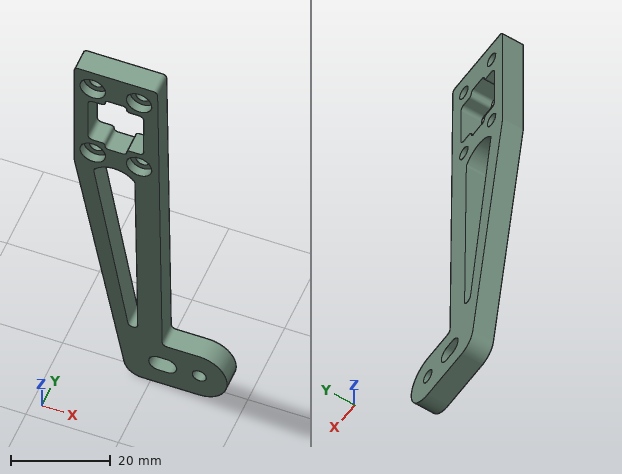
import cadquery as cq

thickness = 5.0
height = 91.0
head_width = 18.0
head_corner_radius = 1.0
bend_height = 62.0
heel_x = 11.4
heel_radius = 4.0

foot_radius = 6.0
foot_top = 2 * foot_radius
foot_hole_x = 27.0
inner_corner_x = 19.0
inner_corner_radius = 1.0
slot_x = 19.1
slot_length = 6.0
slot_width = 4.0

hole_diameter = 3.0
counterbore_diameter = 5.5
counterbore_depth = 2.0
bolt_spacing_x = 10.0
bolt_spacing_z = 20.0
pattern_x = head_width / 2
pattern_z = 76.0

window_size = 12.0
window_corner_radius = 1.0
notch_width = 4.6
notch_span = 15.0
notch_radius = 0.7

opening_top = 63.0
opening_shoulder = 60.7
opening_top_left = 4.2
opening_top_right = 13.1
opening_bottom = 15.0
opening_bottom_left = 11.7
opening_bottom_right = 13.7
opening_shoulder_radius = 1.0
opening_tip_radius = 1.0


def workplane(x=0.0, z=0.0):
    """Plane on the front face (Y = 0), with local axes along X and Z."""
    return cq.Workplane("XZ", origin=(x, 0, z))


def near_edge(body, x, z):
    """The edge through the thickness that is closest to (x, z)."""
    return body.edges("|Y").edges(cq.NearestToPointSelector((x, thickness / 2, z)))


def make_plate():
    outline = (
        workplane()
        .moveTo(0, height)
        .lineTo(head_width, height)
        .lineTo(inner_corner_x, foot_top)
        .lineTo(foot_hole_x, foot_top)
        .threePointArc((foot_hole_x + foot_radius, foot_radius), (foot_hole_x, 0))
        .lineTo(heel_x, 0)
        .lineTo(0, bend_height)
        .close()
    )
    plate = outline.extrude(-thickness)
    for x in (0, head_width):
        plate = near_edge(plate, x, height).fillet(head_corner_radius)
    plate = near_edge(plate, inner_corner_x, foot_top).fillet(inner_corner_radius)
    return near_edge(plate, heel_x, 0).fillet(heel_radius)


def make_window():
    half_window = window_size / 2
    half_notch = notch_width / 2
    center = workplane(pattern_x, pattern_z)
    window = center.rect(window_size, window_size).extrude(-thickness)
    window = window.edges("|Y").fillet(window_corner_radius)
    window = window.union(center.rect(notch_width, notch_span).extrude(-thickness))
    for side_x in (-1, 1):
        for side_z in (-1, 1):
            x = pattern_x + side_x * half_notch
            for offset_z in (notch_span / 2, half_window):
                z = pattern_z + side_z * offset_z
                window = near_edge(window, x, z).fillet(notch_radius)
    return window


def make_opening():
    middle_x = (opening_top_left + opening_top_right) / 2
    opening = (
        workplane()
        .moveTo(opening_top_left, opening_shoulder)
        .threePointArc((middle_x, opening_top), (opening_top_right, opening_shoulder))
        .lineTo(opening_bottom_right, opening_bottom)
        .lineTo(opening_bottom_left, opening_bottom)
        .close()
        .extrude(-thickness)
    )
    for x in (opening_top_left, opening_top_right):
        opening = near_edge(opening, x, opening_shoulder).fillet(opening_shoulder_radius)
    for x in (opening_bottom_left, opening_bottom_right):
        opening = near_edge(opening, x, opening_bottom).fillet(opening_tip_radius)
    return opening


def make_bolt_holes():
    pattern = workplane(pattern_x, pattern_z).rarray(bolt_spacing_x, bolt_spacing_z, 2, 2)
    through_holes = pattern.circle(hole_diameter / 2).extrude(-thickness)
    counterbores = pattern.circle(counterbore_diameter / 2).extrude(-counterbore_depth)
    return through_holes.union(counterbores)


def make_foot_holes():
    hole = workplane(foot_hole_x, foot_radius).circle(hole_diameter / 2).extrude(-thickness)
    slot = workplane(slot_x, foot_radius).slot2D(slot_length, slot_width).extrude(-thickness)
    return hole.union(slot)


result = (
    make_plate()
    .cut(make_window())
    .cut(make_opening())
    .cut(make_bolt_holes())
    .cut(make_foot_holes())
)